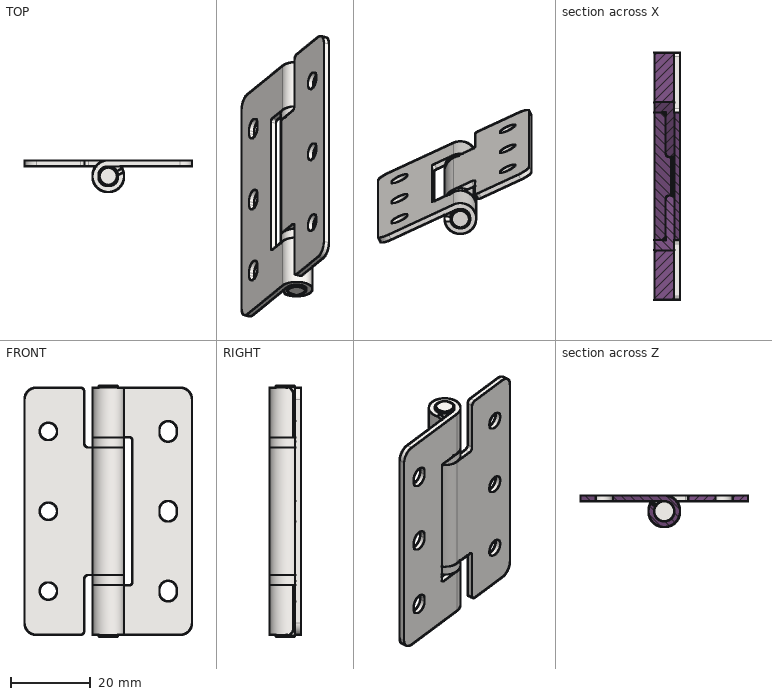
import cadquery as cq
import math

hinge_width = 42.0
leaf_height = 62.0
leaf_thickness = 1.5
leaf_corner_radius = 3.0
knuckle_radius = 4.0
pin_radius = knuckle_radius - leaf_thickness

tongue_angle = 30.0
tongue_corner_chamfer = 1.0

middle_knuckle_height = 32.0
collar_height = 2.5
right_cutout_height = middle_knuckle_height + 2 * collar_height

cutout_reach = 6.0
left_notch_radius = 1.0
right_cutout_radius = 0.7

finger_angle = 8.0
finger_length = 11.1
finger_tip_radius = 0.8
relief_mouth_chamfer = 0.8

hole_diameter = 4.3
slot_length = 5.1
hole_offset = 15.0
hole_pitch = 20.0

pin_gap = 3.0
pin_protrusion = 0.5
pin_chamfer = 0.35

half_width = hinge_width / 2
half_height = leaf_height / 2
half_middle = middle_knuckle_height / 2
half_cutout = right_cutout_height / 2
wall_radius = (knuckle_radius + pin_radius) / 2
plate_angle = math.degrees(math.asin(pin_radius / knuckle_radius))
cut_depth = 4 * knuckle_radius


def polar(radius, angle):
    """Point at a radius and an angle in degrees around the hinge axis."""
    turn = math.radians(angle)
    return radius * math.cos(turn), radius * math.sin(turn)


def nearest_edge(body, angle, z):
    """Radial edge of a knuckle wall closest to the given angle and height."""
    x, y = polar(wall_radius, angle)
    return body.edges(cq.NearestToPointSelector((x, y, z)))


def block(x_start, x_end, z_start, z_end):
    """Cutting block that passes through everything along Y."""
    size = (x_end - x_start, cut_depth, z_end - z_start)
    return cq.Workplane("XY").box(*size, centered=False).translate((x_start, -cut_depth / 2, z_start))


def both_ends(body):
    """The upper body and its mirror image at the lower end."""
    return [body, body.mirror("XY")]


def rolled_leaf():
    """Full-height leaf on the +X side, rolled over -X to a free end below its sheet."""
    roll_middle = 180 + (90 + tongue_angle) / 2
    leaf = (
        cq.Workplane("XY")
        .workplane(offset=-half_height)
        .moveTo(half_width, knuckle_radius)
        .lineTo(0, knuckle_radius)
        .threePointArc(polar(knuckle_radius, roll_middle), polar(knuckle_radius, tongue_angle))
        .lineTo(*polar(pin_radius, tongue_angle))
        .threePointArc(polar(pin_radius, roll_middle), (0, pin_radius))
        .lineTo(half_width, pin_radius)
        .close()
        .extrude(leaf_height)
    )
    return leaf.edges("|Y and >X").fillet(leaf_corner_radius)


def screw_holes(length):
    """Three cutters in a column at +X, round or stretched along Z to the given length."""
    column = cq.Workplane("XZ").pushPoints([(hole_offset, row * hole_pitch) for row in (-1, 0, 1)])
    if length > hole_diameter:
        column = column.slot2D(length, hole_diameter, angle=90)
    else:
        column = column.circle(hole_diameter / 2)
    return column.extrude(cut_depth / 2, both=True)


def make_bushing():
    """Upper bushing: a collar on the middle knuckle with one finger reaching down into it."""
    tip_z = half_middle - finger_length
    bushing = (
        cq.Workplane("XY")
        .workplane(offset=tip_z)
        .circle(knuckle_radius)
        .circle(pin_radius)
        .extrude(finger_length + collar_height)
    )
    reach = 2 * knuckle_radius
    beside_finger = (
        cq.Workplane("XY")
        .workplane(offset=tip_z)
        .lineTo(*polar(reach, plate_angle))
        .lineTo(reach, reach)
        .lineTo(-reach, reach)
        .lineTo(-reach, -reach)
        .lineTo(reach, -reach)
        .lineTo(*polar(reach, finger_angle))
        .close()
        .extrude(finger_length)
    )
    bushing = bushing.cut(beside_finger)
    bushing = nearest_edge(bushing, finger_angle, tip_z).fillet(finger_tip_radius)
    return bushing.mirror("YZ")


def make_right_leaf():
    """Leaf with the two outer knuckles and slotted holes."""
    leaf = rolled_leaf()
    for end_z in (half_height, -half_height):
        leaf = nearest_edge(leaf, tongue_angle, end_z).chamfer(tongue_corner_chamfer)
    cutout = block(-2 * knuckle_radius, cutout_reach, -half_cutout, half_cutout)
    leaf = leaf.cut(cutout.edges("|Y and >X").fillet(right_cutout_radius))
    return leaf.cut(screw_holes(slot_length))


def make_left_leaf(bushings):
    """Leaf with the middle knuckle and round holes, relieved for the bushing fingers."""
    leaf = rolled_leaf()
    notch = block(-2 * knuckle_radius, cutout_reach, half_middle, half_height)
    notch = notch.edges("|Y and >X and <Z").fillet(left_notch_radius)
    for end_notch in both_ends(notch):
        leaf = leaf.cut(end_notch)
    for end_z in (half_height, -half_height):
        sheet_corner = cq.NearestToPointSelector((cutout_reach, knuckle_radius - leaf_thickness / 2, end_z))
        leaf = leaf.edges(sheet_corner).fillet(left_notch_radius)
    leaf = leaf.cut(screw_holes(hole_diameter))
    leaf = leaf.mirror("YZ")
    for bushing in bushings:
        leaf = leaf.cut(bushing)
    for end_z in (half_middle, -half_middle):
        leaf = nearest_edge(leaf, 180 - finger_angle, end_z).chamfer(relief_mouth_chamfer)
    return leaf


def make_pin():
    """Upper pin, from the gap in the middle to its chamfered end above the knuckle."""
    bottom_z = pin_gap / 2
    pin = cq.Workplane("XY").workplane(offset=bottom_z).circle(pin_radius)
    pin = pin.extrude(half_height + pin_protrusion - bottom_z)
    return pin.faces(">Z").chamfer(pin_chamfer)


bushings = both_ends(make_bushing())
pins = both_ends(make_pin())
right_leaf = make_right_leaf()
left_leaf = make_left_leaf(bushings)

result = cq.Compound.makeCompound(
    [
        right_leaf.val(),
        left_leaf.val(),
        *[bushing.val() for bushing in bushings],
        *[pin.val() for pin in pins],
    ]
)